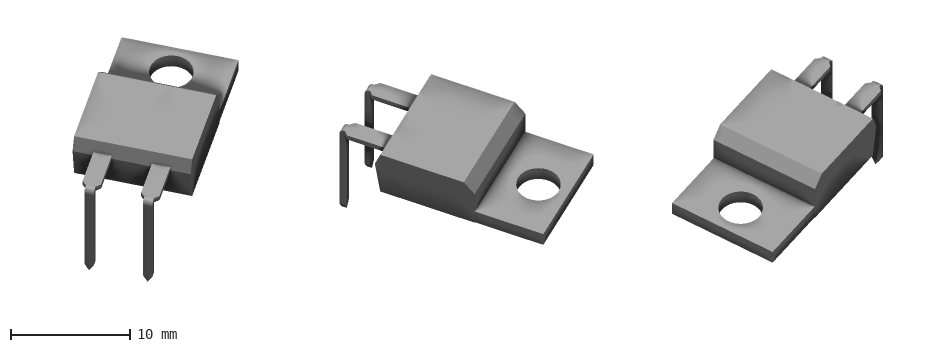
import cadquery as cq

body_width = 10.25
body_length = 9.19
body_height = 4.46
parting_height = 3.15
front_setback = 0.5
back_chamfer = 1.0

tab_width = 10.15
tab_length = 6.3
tab_thickness = 1.3
hole_diameter = 3.73
hole_to_tab_end = 2.76

lead_pitch = 5.08
lead_thickness = 0.5
lead_top = 3.42
lead_reach = 4.25
lead_embed = 1.0
pad_width = 1.6
pin_width = 0.83
bend_radius = lead_thickness
neck_gap = 0.53
taper_length = 0.37
pin_tip_z = -6.32
tip_length = 0.72

body_back = body_length
tab_end = body_back + tab_length
pin_outer = -lead_reach


def make_body():
    """Body side profile, extruded symmetrically across the width."""
    profile = [
        (front_setback, 0),
        (body_back, 0),
        (body_back, body_height - back_chamfer),
        (body_back - back_chamfer, body_height),
        (front_setback, body_height),
        (0, parting_height),
    ]
    return cq.Workplane("YZ").polyline(profile).close().extrude(body_width / 2, both=True)


def make_tab():
    """Flat mounting tab with a through hole, flush with the underside of the body."""
    tab = (
        cq.Workplane("XY")
        .moveTo(0, (body_back + tab_end) / 2)
        .rect(tab_width, tab_length)
        .extrude(tab_thickness)
    )
    hole = (
        cq.Workplane("XY")
        .moveTo(0, tab_end - hole_to_tab_end)
        .circle(hole_diameter / 2)
        .extrude(tab_thickness)
    )
    return tab.cut(hole)


def make_lead(center_x):
    """Wide flat lead that tapers to a narrow pin bent straight down to a point."""
    neck_y = pin_outer + neck_gap
    taper_y = neck_y + taper_length
    half_pad = pad_width / 2
    half_pin = pin_width / 2
    lead_bottom = lead_top - lead_thickness

    pad_outline = [
        (center_x - half_pad, lead_embed),
        (center_x - half_pad, taper_y),
        (center_x - half_pin, neck_y),
        (center_x - half_pin, pin_outer),
        (center_x + half_pin, pin_outer),
        (center_x + half_pin, neck_y),
        (center_x + half_pad, taper_y),
        (center_x + half_pad, lead_embed),
    ]
    pad = (
        cq.Workplane("XY", origin=(0, 0, lead_bottom))
        .polyline(pad_outline)
        .close()
        .extrude(lead_thickness)
    )

    shoulder_z = pin_tip_z + tip_length
    pin_outline = [
        (center_x - half_pin, lead_top),
        (center_x - half_pin, shoulder_z),
        (center_x, pin_tip_z),
        (center_x + half_pin, shoulder_z),
        (center_x + half_pin, lead_top),
    ]
    pin = (
        cq.Workplane("XZ", origin=(0, pin_outer, 0))
        .polyline(pin_outline)
        .close()
        .extrude(-lead_thickness)
    )

    return pad.union(pin).clean().faces("<Y").edges(">Z").fillet(bend_radius)


result = make_body().union(make_tab())
for side in (-1, 1):
    result = result.union(make_lead(side * lead_pitch / 2))